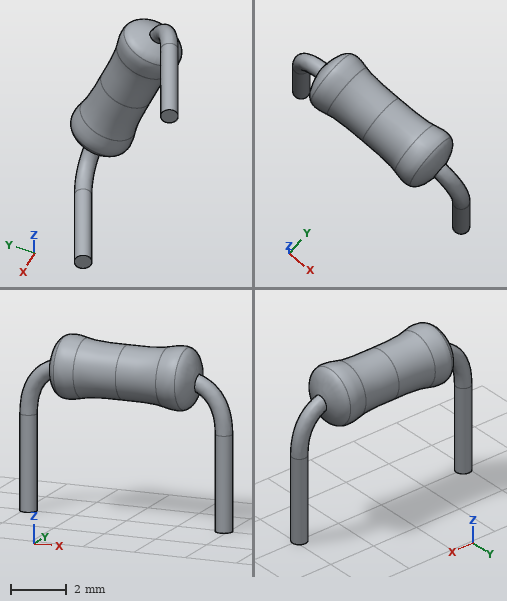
import cadquery as cq


overall_length = 8.28
lead_bottom = -5.52

lead_diameter = 0.64
lead_x = (overall_length - lead_diameter) / 2
bend_start = -1.905
bend_rise = 1.71
lead_end_x = 2.15
lead_end_run = 0.46

tip_x = 2.89
rim_x = 2.37
rim_radius = 1.14
neck_x = 1.615
neck_radius = 1.1
waist_radius = 1.01

rim_slope = 0.44
neck_slope = 0.26

rim_outer_run = 0.31
rim_inner_run = 0.21
neck_outer_run = 0.25
neck_inner_run = (neck_radius - waist_radius) / neck_slope

dome_handle_x = 2.765
dome_handle_radius = 0.58

waist_handle_x = 0.745


def make_half_body():
    """The half of the body on the -X side, turned around the X axis."""
    profile = (
        cq.Workplane("XZ")
        .moveTo(-tip_x, 0)
        .bezier(
            [
                (-dome_handle_x, dome_handle_radius),
                (-rim_x - rim_outer_run, rim_radius - rim_slope * rim_outer_run),
                (-rim_x, rim_radius),
            ],
            includeCurrent=True,
        )
        .bezier(
            [
                (-rim_x + rim_inner_run, rim_radius + rim_slope * rim_inner_run),
                (-neck_x - neck_outer_run, neck_radius + neck_slope * neck_outer_run),
                (-neck_x, neck_radius),
            ],
            includeCurrent=True,
        )
        .bezier(
            [
                (-neck_x + neck_inner_run, waist_radius),
                (-waist_handle_x, waist_radius),
                (0, waist_radius),
            ],
            includeCurrent=True,
        )
        .lineTo(0, 0)
        .close()
    )
    return profile.revolve(360, (0, 0, 0), (1, 0, 0))


def make_lead(side):
    """Round wire: a straight leg, then a bend that ends level inside the body."""
    path = (
        cq.Workplane("XZ")
        .moveTo(side * lead_x, lead_bottom)
        .lineTo(side * lead_x, bend_start)
        .bezier(
            [
                (side * lead_x, bend_start + bend_rise),
                (side * (lead_end_x + lead_end_run), 0),
                (side * lead_end_x, 0),
            ],
            includeCurrent=True,
        )
    )
    section = cq.Workplane("XY", origin=(side * lead_x, 0, lead_bottom)).circle(lead_diameter / 2)
    return section.sweep(path)


def make_body(leads):
    """Both halves joined, with a recess around the end of each lead."""
    half = make_half_body()
    body = half.union(half.mirror("YZ"))
    for lead in leads:
        body = body.cut(lead)
    return body


leads = [make_lead(side) for side in (-1, 1)]
body = make_body(leads).solids().val()

result = cq.Compound.makeCompound([body, *[lead.val() for lead in leads]])